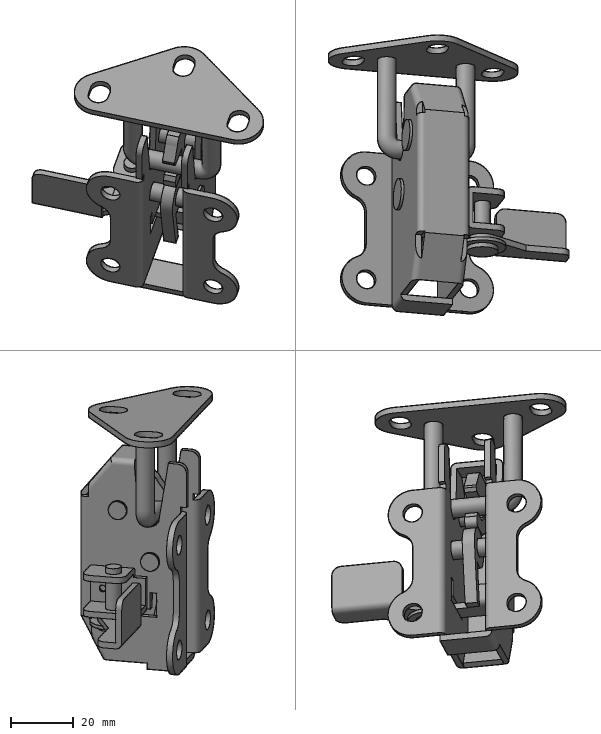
import cadquery as cq
import math

SHEET = 2.0
BEND = 0.999 * SHEET
LARGE = 100.0
MARGIN = 1.0

width = 17.0
half_width = width / 2
half_inside = half_width - SHEET
depth = 35.4
housing_top = 69.3
wall_bottom = SHEET
web_top = 57.1
web_bottom = 15.5
top_corner_y = 25.4
bottom_corner_y = 28.0
nose_radius = 3.0
floor_tab_depth = 13.0
upper_relief_y, upper_relief_z = 32.5, 56.0
lower_relief_y, lower_relief_z = 31.4, 16.0

flange_hole_x = 17.0
flange_hole_z = (10.0, 45.0)
flange_hole_diameter = 6.3
flange_radius = 8.0
waist_radius = 5.0
flange_top = flange_hole_z[1] + flange_radius
flange_gap = 2.0

striker_top = 83.0
rod_radius = 3.0
rod_x = 13.0
bar_y, bar_z = 12.4, 51.0
rod_bend_radius = 3.6
plate_hole_x = 23.0
plate_front_y, plate_back_y = 8.5, 26.5
plate_radius = 8.0
plate_slot_length, plate_slot_width = 9.0, 6.5

slot_radius = 3.4
slot_front_angle = math.radians(9.2)
slot_back_angle = math.radians(4.9)

pin_radius = 3.0
pin_end_x = -9.6
pin_head_radius = 5.0
pin_head_height = 0.9
catch_y, catch_z = 22.6, 52.5
trigger_y, trigger_z = 11.9, 36.1

pawl_width = 4.0
catch_boss_radius = 6.0
trigger_hub_radius = 6.5
trigger_leg_angle = 12.0
trigger_leg_thickness = 3.0
trigger_leg_bottom = 15.9

bracket_end_x = -21.5
bracket_back_y = 31.2
bracket_lower_front_y = 13.0
bracket_upper_front_y = 17.0
bracket_bottom, bracket_top = 19.9, 33.9
bracket_step_z = 30.9
bracket_corner = 3.0
dimple_diameter = 2.2
dimple_depth = 1.0
dimple_z = 26.4
dimple_y = (17.1, 27.2)

lever_pin_x, lever_pin_y = -16.0, 22.1
lever_pin_radius = 2.55
lever_pin_top = 35.8
lever_top = bracket_bottom
lever_bottom = lever_top - SHEET
collar_radius, collar_height = 7.5, 1.1
head_radius, head_height = 5.0, 1.4
lever_hub_radius = 5.0
handle_end_x, handle_inner_x = -46.0, -23.0
handle_back_y = 19.6
handle_bend_x = -31.0
handle_corner = 3.0
lever_front_y = 13.0
handle_tab_top = bracket_top
inner_arm_front_y = lever_pin_y - lever_hub_radius
inner_arm_back_y = 24.0
inner_tab_start_x, inner_tab_end_x = -3.0, 5.6
inner_tab_top = 24.8
inner_tab_corner = 1.0

window_front_y, window_bottom = 9.9, 17.6
window_tall_back_y, window_tall_top = 12.0, 25.6
window_low_back_y, window_low_top = 25.0, 20.1


def box(x0, x1, y0, y1, z0, z1):
    """Axis-aligned block between two corners."""
    return cq.Workplane().box(x1 - x0, y1 - y0, z1 - z0, centered=False).translate((x0, y0, z0))


def cylinder_x(radius, x0, x1, y, z):
    """Cylinder along X."""
    return cq.Workplane("YZ", origin=(x0, y, z)).circle(radius).extrude(x1 - x0)


def cylinder_z(radius, z0, z1, x, y):
    """Cylinder along Z."""
    return cq.Workplane("XY", origin=(x, y, z0)).circle(radius).extrude(z1 - z0)


def slot_point(angle, side):
    """Tangent point of a slot flank on the round slot end; side is -1 front, +1 back."""
    return (bar_y + side * slot_radius * math.cos(angle), bar_z - slot_radius * math.sin(angle))


def slot_mouth(angle, side):
    """Upper end of a slot flank, on the top of the housing."""
    y, z = slot_point(angle, side)
    return (y + side * (housing_top - z) * math.tan(angle), housing_top)


def make_housing_body():
    """Folded channel with an open front: two walls joined by a faceted back."""
    body = (
        cq.Workplane("YZ", origin=(-half_width, 0, 0))
        .moveTo(SHEET, wall_bottom)
        .lineTo(SHEET, flange_top + flange_gap)
        .lineTo(0, flange_top + flange_gap)
        .lineTo(0, housing_top - nose_radius)
        .radiusArc((nose_radius, housing_top), nose_radius)
        .lineTo(*slot_mouth(slot_front_angle, -1))
        .lineTo(*slot_point(slot_front_angle, -1))
        .threePointArc((bar_y, bar_z - slot_radius), slot_point(slot_back_angle, 1))
        .lineTo(*slot_mouth(slot_back_angle, 1))
        .lineTo(top_corner_y, housing_top)
        .lineTo(depth, web_top)
        .lineTo(depth, web_bottom)
        .lineTo(bottom_corner_y, wall_bottom)
        .close()
        .extrude(width)
    )
    slot_back_y = slot_mouth(slot_back_angle, 1)[0]
    back_region = cq.selectors.BoxSelector(
        (-width, slot_back_y, wall_bottom + MARGIN),
        (width, depth + MARGIN, housing_top + MARGIN),
    )
    body = body.edges(back_region).edges("not |X").fillet(BEND)

    upper_tilt = math.atan2(depth - top_corner_y, housing_top - web_top)
    lower_tilt = math.atan2(depth - bottom_corner_y, web_bottom - wall_bottom)
    web_y = depth - SHEET
    ceiling = housing_top - SHEET
    upper_z = web_top - SHEET * math.tan(upper_tilt / 2)
    lower_z = web_bottom + SHEET * math.tan(lower_tilt / 2)
    ceiling_y = top_corner_y - SHEET * math.tan((math.pi / 2 - upper_tilt) / 2)
    panel_end = (bottom_corner_y - SHEET * math.cos(lower_tilt), wall_bottom + SHEET * math.sin(lower_tilt))
    mouth_y = slot_back_y - SHEET
    inside = (
        cq.Workplane("YZ", origin=(-half_inside, 0, 0))
        .polyline([
            (-MARGIN, -MARGIN),
            (bottom_corner_y, -MARGIN),
            (bottom_corner_y, wall_bottom),
            panel_end,
            (web_y, lower_z),
            (web_y, upper_z),
            (ceiling_y, ceiling),
            (mouth_y, ceiling),
            (mouth_y, housing_top + MARGIN),
            (-MARGIN, housing_top + MARGIN),
        ])
        .close()
        .extrude(2 * half_inside)
    )
    body = body.cut(inside)

    for x0 in (-half_width, half_inside):
        body = body.cut(box(x0, x0 + SHEET, upper_relief_y, LARGE, upper_relief_z, LARGE))
        body = body.cut(box(x0, x0 + SHEET, lower_relief_y, LARGE, 0, lower_relief_z))
    return body


def make_flange(side):
    """Mounting flange; side is -1 for left and +1 for right."""
    low_z, high_z = flange_hole_z
    span = math.sqrt((flange_radius + waist_radius) ** 2 - waist_radius ** 2)
    reach = flange_radius / (flange_radius + waist_radius)
    tangent_x = flange_hole_x + waist_radius * reach
    outer_x = flange_hole_x + flange_radius
    inner_x = half_inside
    waist_low, waist_high = low_z + span, high_z - span
    flange = (
        cq.Workplane("XZ")
        .moveTo(inner_x, low_z - flange_radius)
        .lineTo(flange_hole_x, low_z - flange_radius)
        .threePointArc((outer_x, low_z), (tangent_x, low_z + span * reach))
        .radiusArc((flange_hole_x, waist_low), waist_radius)
        .lineTo(flange_hole_x, waist_high)
        .radiusArc((tangent_x, high_z - span * reach), waist_radius)
        .threePointArc((outer_x, high_z), (flange_hole_x, flange_top))
        .lineTo(inner_x, flange_top)
        .close()
        .extrude(-SHEET)
        .edges("|Z and <X and <Y")
        .fillet(BEND)
    )
    holes = cq.Workplane("XZ").pushPoints([(flange_hole_x, z) for z in flange_hole_z])
    flange = flange.cut(holes.circle(flange_hole_diameter / 2).extrude(-SHEET))
    return flange if side > 0 else flange.mirror("YZ")


def make_floor_tab():
    """Tab folded under the channel from the right wall."""
    tab = box(-half_width, half_width, SHEET, floor_tab_depth, 0, SHEET)
    return tab.edges("|Y and >X and <Z").fillet(BEND)


def make_housing():
    housing = make_housing_body()
    for side in (-1, 1):
        housing = housing.union(make_flange(side))
    housing = housing.union(make_floor_tab())
    for y, z in ((catch_y, catch_z), (trigger_y, trigger_z)):
        housing = housing.cut(cylinder_x(pin_radius, -half_width, half_width, y, z))
    for back_y, top in ((window_tall_back_y, window_tall_top), (window_low_back_y, window_low_top)):
        window = box(-half_width, -half_inside, window_front_y, back_y, window_bottom, top)
        housing = housing.cut(window)
    return housing


def make_striker():
    """Triangular plate with three slots, carrying a U-shaped rod."""
    plate_bottom = striker_top - SHEET
    corners = [(-plate_hole_x, plate_front_y), (plate_hole_x, plate_front_y), (0, plate_back_y)]
    triangle = cq.Workplane("XY", origin=(0, 0, plate_bottom)).polyline(corners).close()
    plate = triangle.offset2D(plate_radius).extrude(SHEET)
    slots = (
        cq.Workplane("XY", origin=(0, 0, plate_bottom))
        .pushPoints(corners)
        .slot2D(plate_slot_length, plate_slot_width, 90)
        .extrude(SHEET)
    )
    plate = plate.cut(slots)
    path = (
        cq.Workplane("XZ", origin=(0, bar_y, 0))
        .moveTo(-rod_x, plate_bottom)
        .lineTo(-rod_x, bar_z + rod_bend_radius)
        .radiusArc((-rod_x + rod_bend_radius, bar_z), -rod_bend_radius)
        .lineTo(rod_x - rod_bend_radius, bar_z)
        .radiusArc((rod_x, bar_z + rod_bend_radius), -rod_bend_radius)
        .lineTo(rod_x, plate_bottom)
    )
    rod = cq.Workplane("XY", origin=(-rod_x, bar_y, plate_bottom)).circle(rod_radius).sweep(path)
    return plate.union(rod)


def make_pivot_pin(y, z):
    """Headed pin across both walls, head on the right."""
    shank = cylinder_x(pin_radius, pin_end_x, half_width, y, z)
    return shank.union(cylinder_x(pin_head_radius, half_width, half_width + pin_head_height, y, z))


def make_catch():
    """Hooked plate that holds the striker bar between its two jaws."""
    half = pawl_width / 2
    hub_clearance = 0.2
    jaw_front_y = 9.0
    jaw_bottom = trigger_z + trigger_hub_radius + hub_clearance
    jaw_round = 1.6
    jaw_face_top = 46.0
    jaw_lip = 1.0
    tip_y = 8.0
    tip_bottom, tip_top = 55.8, 56.5
    tip_chamfer_y = 0.8
    roof_rise = 0.5
    slope_end = (11.3, 60.9)
    crown_front_y, crown_front_z = 13.4, 63.3
    crown_back_z = 62.8
    crown_radius = 5.0
    heel_y = 17.0
    mouth_gap_below, mouth_gap_above = 0.3, 0.05
    mouth_bottom = bar_z - mouth_gap_below - rod_radius
    mouth_top = bar_z + mouth_gap_above + rod_radius
    mouth_round = 1.5
    mouth_back_y = 17.5
    mouth_round_y = mouth_back_y - mouth_round
    catch = (
        cq.Workplane("YZ", origin=(-half, 0, 0))
        .moveTo(tip_y, tip_bottom)
        .lineTo(tip_y, tip_top)
        .lineTo(*slope_end)
        .radiusArc((crown_front_y, crown_front_z), crown_radius)
        .lineTo(catch_y, crown_back_z)
        .lineTo(catch_y + catch_boss_radius, catch_z)
        .lineTo(catch_y, catch_z - catch_boss_radius)
        .lineTo(heel_y, jaw_bottom)
        .lineTo(jaw_front_y + jaw_round, jaw_bottom)
        .radiusArc((jaw_front_y, jaw_bottom + jaw_round), jaw_round)
        .lineTo(jaw_front_y, jaw_face_top)
        .lineTo(jaw_front_y + jaw_lip, mouth_bottom)
        .lineTo(mouth_round_y, mouth_bottom)
        .radiusArc((mouth_back_y, mouth_bottom + mouth_round), -mouth_round)
        .lineTo(mouth_back_y, mouth_top - mouth_round)
        .radiusArc((mouth_round_y, mouth_top), -mouth_round)
        .lineTo(tip_y + tip_chamfer_y, mouth_top + roof_rise)
        .close()
        .extrude(pawl_width)
    )
    boss = cylinder_x(catch_boss_radius, -half, half, catch_y, catch_z)
    hole = cylinder_x(pin_radius, -half, half, catch_y, catch_z)
    return catch.union(boss).cut(hole)


def make_trigger():
    """Round hub with a leg leaning back, tangent to the front of the hub."""
    half = pawl_width / 2
    hub = cylinder_x(trigger_hub_radius, -half, half, trigger_y, trigger_z)
    front = trigger_y - trigger_hub_radius
    leg = box(-half, half, front, front + trigger_leg_thickness, trigger_z - LARGE / 2, trigger_z)
    pivot = (trigger_y, trigger_z)
    leg = leg.rotate((0, *pivot), (1, *pivot), trigger_leg_angle)
    leg = leg.intersect(box(-half, half, -LARGE, LARGE, trigger_leg_bottom, LARGE))
    hole = cylinder_x(pin_radius, -half, half, trigger_y, trigger_z)
    return hub.union(leg).cut(hole)


def make_bracket():
    """C-shaped bracket on the left wall, carrying the lever pin."""
    back_x = -half_width
    face_x = back_x - SHEET
    base = box(face_x, back_x, bracket_lower_front_y, bracket_back_y, bracket_bottom, bracket_top)
    lower_tab = box(
        bracket_end_x, back_x, bracket_lower_front_y, bracket_back_y, bracket_bottom, bracket_bottom + SHEET
    )
    upper_tab = box(
        bracket_end_x, back_x, bracket_upper_front_y, bracket_back_y, bracket_top - SHEET, bracket_top
    )
    lower_tab = lower_tab.edges("|Z and <X").fillet(bracket_corner)
    upper_tab = upper_tab.edges("|Z and <X").fillet(bracket_corner)
    step = box(face_x, back_x, bracket_lower_front_y, bracket_upper_front_y, bracket_step_z, bracket_top)
    bracket = base.cut(step).union(lower_tab).union(upper_tab)
    bracket = bracket.edges("|Y and >X and (<Z or >Z)").fillet(BEND)
    for y in dimple_y:
        dimple = cylinder_x(dimple_diameter / 2, face_x, face_x + dimple_depth, y, dimple_z)
        bracket = bracket.cut(dimple)
    return bracket.cut(cylinder_z(lever_pin_radius, bracket_bottom, bracket_top, lever_pin_x, lever_pin_y))


def make_lever_pin():
    """Stepped hinge pin: shank, collar under the lever and head."""
    collar_bottom = lever_bottom - collar_height
    pin = cylinder_z(lever_pin_radius, lever_bottom, lever_pin_top, lever_pin_x, lever_pin_y)
    collar = cylinder_z(collar_radius, collar_bottom, lever_bottom, lever_pin_x, lever_pin_y)
    head = cylinder_z(head_radius, collar_bottom - head_height, collar_bottom, lever_pin_x, lever_pin_y)
    return pin.union(collar).union(head)


def make_lever_tab(x0, x1, edge_y, top, corner):
    """Upright tab folded up from a front edge of the lever at edge_y."""
    tab = box(x0, x1, edge_y - SHEET, edge_y, lever_bottom, top)
    tab = tab.edges("|Y and >Z").fillet(corner)
    return tab.edges("|X and <Y and <Z").fillet(BEND)


def make_lever():
    """Cranked plate with a handle tab outside and a push tab inside the housing."""
    gap_x = lever_pin_x - handle_bend_x
    gap_y = lever_pin_y - handle_back_y
    slope = math.atan2(gap_y, gap_x) + math.asin(lever_hub_radius / math.hypot(gap_x, gap_y))
    hub_x = lever_pin_x - lever_hub_radius * math.sin(slope)
    hub_y = lever_pin_y + lever_hub_radius * math.cos(slope)
    front_rise = (lever_pin_x - handle_inner_x) * math.tan(slope)
    plate = (
        cq.Workplane("XY", origin=(0, 0, lever_bottom))
        .moveTo(handle_end_x, lever_front_y)
        .lineTo(handle_end_x, handle_back_y - handle_corner)
        .radiusArc((handle_end_x + handle_corner, handle_back_y), handle_corner)
        .lineTo(handle_bend_x, handle_back_y)
        .lineTo(hub_x, hub_y)
        .lineTo(lever_pin_x, lever_pin_y)
        .lineTo(lever_pin_x, lever_front_y + front_rise)
        .lineTo(handle_inner_x, lever_front_y)
        .close()
        .extrude(SHEET)
    )
    hub = cylinder_z(lever_hub_radius, lever_bottom, lever_top, lever_pin_x, lever_pin_y)
    inner_arm = box(
        lever_pin_x, inner_tab_end_x, inner_arm_front_y, inner_arm_back_y, lever_bottom, lever_top
    )
    handle_tab = make_lever_tab(handle_end_x, handle_inner_x, lever_front_y, handle_tab_top, handle_corner)
    inner_tab = make_lever_tab(
        inner_tab_start_x, inner_tab_end_x, inner_arm_front_y, inner_tab_top, inner_tab_corner
    )
    lever = plate.union(hub).union(inner_arm).union(handle_tab).union(inner_tab)
    return lever.cut(cylinder_z(lever_pin_radius, lever_bottom, lever_top, lever_pin_x, lever_pin_y))


housing = make_housing()
striker = make_striker()
pivot_pins = [make_pivot_pin(catch_y, catch_z), make_pivot_pin(trigger_y, trigger_z)]
catch = make_catch()
trigger = make_trigger()
bracket = make_bracket()
lever_pin = make_lever_pin()
lever = make_lever()

result = cq.Compound.makeCompound([
    housing.val(),
    striker.val(),
    *[pin.val() for pin in pivot_pins],
    catch.val(),
    trigger.val(),
    bracket.val(),
    lever_pin.val(),
    lever.val(),
])